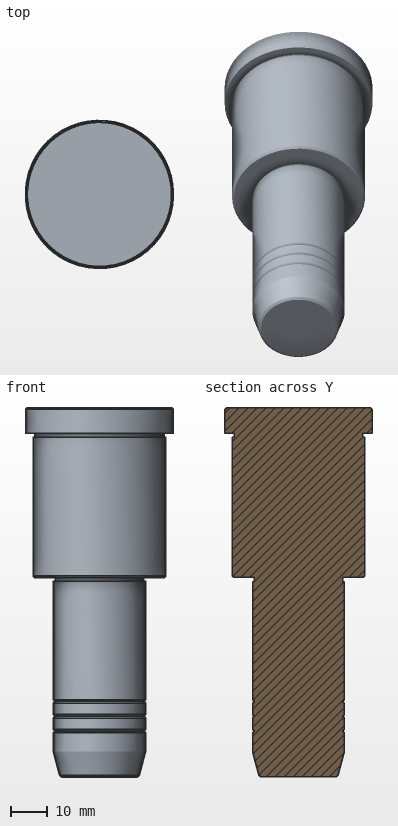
import cadquery as cq
import math

total_length = 100.0
head_radius = 20.0
head_height = 7.0
shank_radius = 18.0
shank_bottom = 54.0
pilot_radius = 12.5
edge_chamfer = 0.5

relief_width = 1.0
relief_depth = 0.5

nose_height = 7.0
nose_angle = 15.0
nose_end_radius = pilot_radius - nose_height * math.tan(math.radians(nose_angle))

groove_count = 3
groove_pitch = 4.0
groove_width = 1.0
groove_depth = 0.5
lowest_groove_bottom = 12.0


def cylinder(radius, bottom, top):
    """Solid cylinder on the Z axis between two heights."""
    return cq.Workplane("XY").workplane(offset=bottom).circle(radius).extrude(top - bottom)


def ring_cutter(radius, bottom, width, depth):
    """Ring that cuts a square groove into a cylinder of the given radius."""
    outer = cylinder(radius + depth, bottom, bottom + width)
    return outer.cut(cylinder(radius - depth, bottom, bottom + width))


def v_ring_cutter(radius, bottom, width, depth):
    """Triangular ring that cuts a V-groove with its mouth on the given radius."""
    mouth_and_tip = [(radius, bottom), (radius - depth, bottom + width / 2), (radius, bottom + width)]
    return cq.Workplane("XZ").polyline(mouth_and_tip).close().revolve(360, (0, 0), (0, 1))


head_bottom = total_length - head_height
head = cylinder(head_radius, head_bottom, total_length).faces(">Z").chamfer(edge_chamfer)
shank = cylinder(shank_radius, shank_bottom, head_bottom).faces("<Z").chamfer(edge_chamfer)
shank = shank.cut(ring_cutter(shank_radius, head_bottom - relief_width, relief_width, relief_depth))

pilot = cylinder(pilot_radius, nose_height, shank_bottom)
pilot = pilot.cut(ring_cutter(pilot_radius, shank_bottom - relief_width, relief_width, relief_depth))
for index in range(groove_count):
    groove_bottom = lowest_groove_bottom + index * groove_pitch
    pilot = pilot.cut(v_ring_cutter(pilot_radius, groove_bottom, groove_width, groove_depth))

nose = cq.Workplane("XY").circle(nose_end_radius)
nose = nose.workplane(offset=nose_height).circle(pilot_radius).loft(ruled=True)
nose = nose.faces("<Z").chamfer(edge_chamfer)

result = head.union(shank).union(pilot).union(nose)